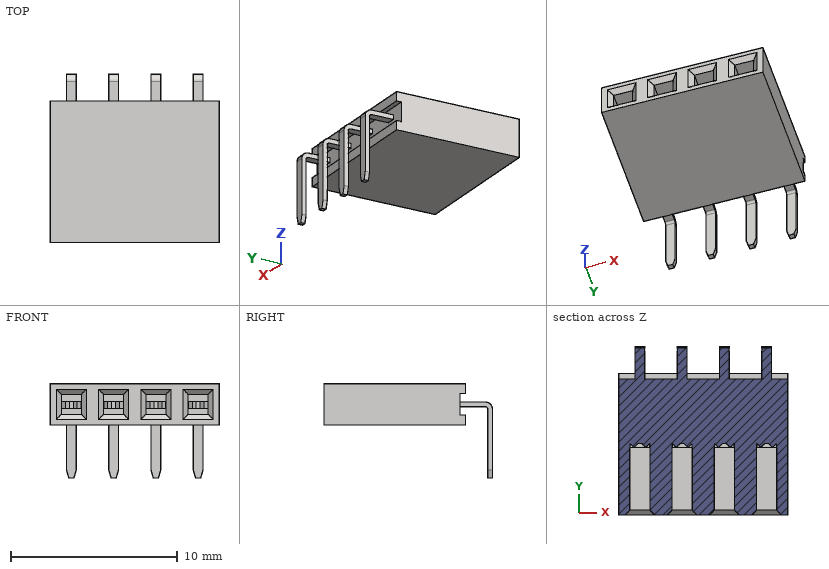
import cadquery as cq

pin_count = 4
body_width = 10.17
body_depth = 8.53
body_height = 2.5
mid_height = body_height / 2
pitch = body_width / pin_count

groove_depth = 0.34
groove_height = 1.28
groove_floor = body_depth - groove_depth

mouth_size = 1.8
hole_size = 1.2
mouth_depth = (mouth_size - hole_size) / 2
hole_depth = 4.07

slot_width = 1.18
slot_height = 0.42
slot_drop = 0.05
ridge_height = slot_width / 5

pin_width = 0.6
pin_thickness = 0.3
bend_radius = 0.45
tip_width = 0.32
tip_length = 0.5
pin_back = 10.15
overall_height = 5.7
pin_front = pin_back - pin_thickness
pin_bottom = body_height - overall_height
pin_top = mid_height + pin_thickness / 2
pin_underside = pin_top - pin_thickness


def make_box(width, depth, height, x, y, z):
    """Box centred on x and z whose front face lies at y."""
    return cq.Workplane("XY").box(width, depth, height, centered=(True, False, True)).translate((x, y, z))


def make_housing():
    block = make_box(body_width, body_depth, body_height, 0, 0, mid_height)
    groove = make_box(body_width, groove_depth, groove_height, 0, groove_floor, mid_height)
    return block.cut(groove)


def make_contact_slot():
    """Slot cavity at x = 0; its rear outline steps around the two ridges, leaving a flat between them."""
    half_slot = slot_width / 2
    half_flat = ridge_height / 2
    ridge_tip = half_flat + ridge_height
    slot_floor = hole_depth + ridge_height
    slot_front = hole_depth - ridge_height
    return (
        cq.Workplane("XY", origin=(0, 0, mid_height - slot_drop - slot_height / 2))
        .polyline([
            (-half_slot, slot_front),
            (-half_slot, slot_floor),
            (-ridge_tip, hole_depth),
            (-half_flat, slot_floor),
            (half_flat, slot_floor),
            (ridge_tip, hole_depth),
            (half_slot, slot_floor),
            (half_slot, slot_front),
        ])
        .close()
        .extrude(slot_height)
    )


def make_socket():
    """Complete socket cavity at x = 0."""
    mouth = (
        cq.Workplane("XZ", origin=(0, 0, mid_height))
        .rect(mouth_size, mouth_size)
        .workplane(offset=-mouth_depth)
        .rect(hole_size, hole_size)
        .loft()
    )
    hole = make_box(hole_size, hole_depth, hole_size, 0, 0, mid_height)
    return mouth.union(hole).union(make_contact_slot())


def make_pin():
    """Bent pin at x = 0, running back from the groove floor and then down to a tapered tip."""
    bent_bar = (
        cq.Workplane("YZ")
        .moveTo(groove_floor, pin_top)
        .lineTo(pin_back - bend_radius, pin_top)
        .tangentArcPoint((pin_back, pin_top - bend_radius), relative=False)
        .lineTo(pin_back, pin_bottom)
        .lineTo(pin_front, pin_bottom)
        .lineTo(pin_front, pin_top - bend_radius)
        .tangentArcPoint((pin_back - bend_radius, pin_underside), relative=False)
        .lineTo(groove_floor, pin_underside)
        .close()
        .extrude(pin_width / 2, both=True)
    )
    half_width = pin_width / 2
    half_tip = tip_width / 2
    taper_start = pin_bottom + tip_length
    front_outline = (
        cq.Workplane("XZ")
        .polyline([
            (-half_width, pin_top),
            (-half_width, taper_start),
            (-half_tip, pin_bottom),
            (half_tip, pin_bottom),
            (half_width, taper_start),
            (half_width, pin_top),
        ])
        .close()
        .extrude(-pin_back)
    )
    return bent_bar.intersect(front_outline)


result = make_housing()
for index in range(pin_count):
    x = (index - (pin_count - 1) / 2) * pitch
    result = result.cut(make_socket().translate((x, 0, 0)))
    result = result.union(make_pin().translate((x, 0, 0)))